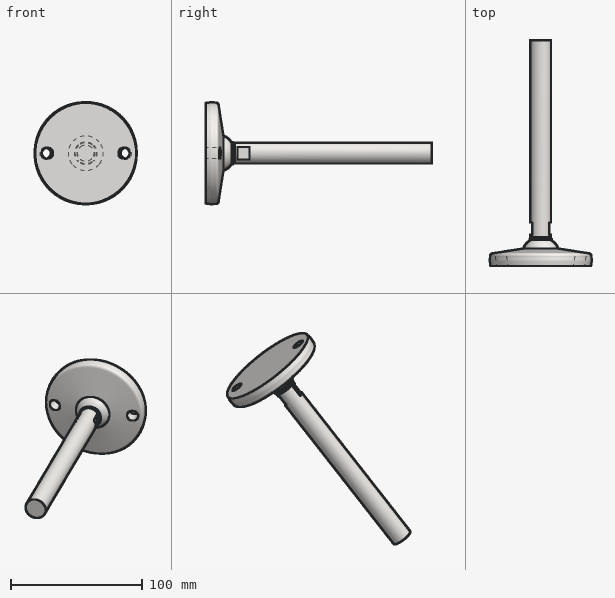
import cadquery as cq
import math

TOTAL_LENGTH = 172.0

RIM_RADIUS = 78.0 / 2
UNDERSIDE_RADIUS = 38.4
RIM_HEIGHT = 4.3
SHOULDER_RADIUS = 38.7
SHOULDER_HEIGHT = 6.9
CONE_OUTER_RADIUS = 36.3
CONE_OUTER_HEIGHT = 10.0
SHOULDER_BULGE = 0.6

CONE_INNER_RADIUS = 13.2
CONE_INNER_HEIGHT = 13.6
DOME_BASE_RADIUS = 12.7
DOME_BASE_HEIGHT = 15.0
DOME_MID_RADIUS = 11.0
DOME_MID_HEIGHT = 17.5
DOME_TOP_RADIUS = 8.0
DOME_TOP_HEIGHT = 19.8
LIP_RADIUS = 8.6
FOOT_HEIGHT = 20.8

HOLE_DIAMETER = 8.5
HOLE_OFFSET = 29.0
HOLE_CUT_LENGTH = 34.4
CONE_ANGLE = math.atan2(CONE_INNER_HEIGHT - CONE_OUTER_HEIGHT, CONE_OUTER_RADIUS - CONE_INNER_RADIUS)

SPINDLE_RADIUS = 16.0 / 2
SPINDLE_SHOULDER_HEIGHT = 22.2
NECK_RADIUS = 6.2
NECK_FLARE_HEIGHT = 21.7
NECK_FLARE_RADIUS = 8.0
FLATS_WIDTH = 13.0
FLATS_START = 24.0
FLATS_LENGTH = 9.1


def turn(profile):
    """Revolve a radius-height profile about the Y axis."""
    return profile.close().revolve(360, (0, 0, 0), (0, 1, 0))


def fixing_hole(side):
    """Cutter for one hole, leaning outward so that it is square to the cone."""
    outward = side * math.sin(CONE_ANGLE)
    upward = math.cos(CONE_ANGLE)
    axis = cq.Vector(outward, upward, 0)
    start = cq.Vector(side * HOLE_OFFSET, 0, 0) - axis * (HOLE_CUT_LENGTH / 2)
    return cq.Workplane(cq.Solid.makeCylinder(HOLE_DIAMETER / 2, HOLE_CUT_LENGTH, start, axis))


def make_foot():
    """Round foot with a conical top, a central dome and two fixing holes."""
    shoulder_mid = (
        (SHOULDER_RADIUS + CONE_OUTER_RADIUS) / 2 + SHOULDER_BULGE,
        (SHOULDER_HEIGHT + CONE_OUTER_HEIGHT) / 2 + SHOULDER_BULGE,
    )
    foot = turn(
        cq.Workplane("XY")
        .lineTo(UNDERSIDE_RADIUS, 0)
        .lineTo(RIM_RADIUS, RIM_HEIGHT)
        .lineTo(SHOULDER_RADIUS, SHOULDER_HEIGHT)
        .threePointArc(shoulder_mid, (CONE_OUTER_RADIUS, CONE_OUTER_HEIGHT))
        .lineTo(CONE_INNER_RADIUS, CONE_INNER_HEIGHT)
        .lineTo(DOME_BASE_RADIUS, DOME_BASE_HEIGHT)
        .threePointArc((DOME_MID_RADIUS, DOME_MID_HEIGHT), (DOME_TOP_RADIUS, DOME_TOP_HEIGHT))
        .lineTo(LIP_RADIUS, FOOT_HEIGHT)
        .lineTo(0, FOOT_HEIGHT)
    )
    for side in (-1, 1):
        foot = foot.cut(fixing_hole(side))
    return foot


def wrench_flat(side):
    """Cutter for one wrench flat on the spindle."""
    depth = SPINDLE_RADIUS
    return cq.Workplane("XY").box(depth, FLATS_LENGTH, 2 * SPINDLE_RADIUS).translate(
        (side * (FLATS_WIDTH + depth) / 2, FLATS_START + FLATS_LENGTH / 2, 0)
    )


def make_spindle():
    """Straight spindle on a flared neck that rests on the foot."""
    spindle = turn(
        cq.Workplane("XY")
        .moveTo(0, FOOT_HEIGHT)
        .lineTo(NECK_FLARE_RADIUS, FOOT_HEIGHT)
        .lineTo(NECK_RADIUS, NECK_FLARE_HEIGHT)
        .lineTo(NECK_RADIUS, SPINDLE_SHOULDER_HEIGHT)
        .lineTo(SPINDLE_RADIUS, SPINDLE_SHOULDER_HEIGHT)
        .lineTo(SPINDLE_RADIUS, TOTAL_LENGTH)
        .lineTo(0, TOTAL_LENGTH)
    )
    for side in (-1, 1):
        spindle = spindle.cut(wrench_flat(side))
    return spindle


foot = make_foot()
spindle = make_spindle()
result = cq.Compound.makeCompound([foot.val(), spindle.val()])